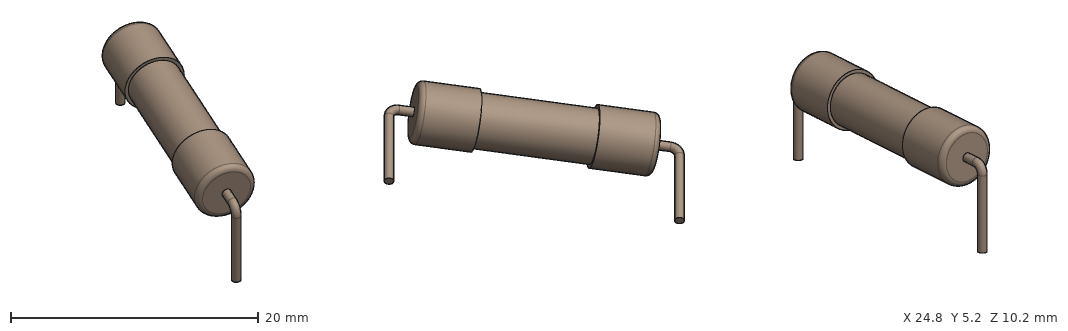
import cadquery as cq

overall_length = 24.8
body_length = 20.0
cap_diameter = 5.2
cap_length = 5.1
cap_edge_radius = 0.5
tube_diameter = 4.61
lead_diameter = 0.8
lead_bend_radius = 0.8
lead_drop = 7.6

lead_x = (overall_length - lead_diameter) / 2
cap_face_x = body_length / 2
tube_length = body_length - 2 * cap_length


def make_tube():
    return cq.Workplane("YZ").circle(tube_diameter / 2).extrude(tube_length / 2, both=True)


def make_cap():
    """End cap at +X with a rounded outer rim."""
    cap = cq.Workplane("YZ", origin=(tube_length / 2, 0, 0)).circle(cap_diameter / 2).extrude(cap_length)
    return cap.faces(">X").edges().fillet(cap_edge_radius)


def make_lead():
    """Round wire leaving the +X cap face along the axis, then bending down."""
    bend_start_x = lead_x - lead_bend_radius
    path = (
        cq.Workplane("XZ")
        .moveTo(cap_face_x, 0)
        .lineTo(bend_start_x, 0)
        .tangentArcPoint((lead_x, -lead_bend_radius), relative=False)
        .lineTo(lead_x, -lead_drop)
    )
    return cq.Workplane("YZ", origin=(cap_face_x, 0, 0)).circle(lead_diameter / 2).sweep(path)


right_end = make_cap().union(make_lead())
left_end = right_end.mirror("YZ")
result = make_tube().union(right_end).union(left_end)